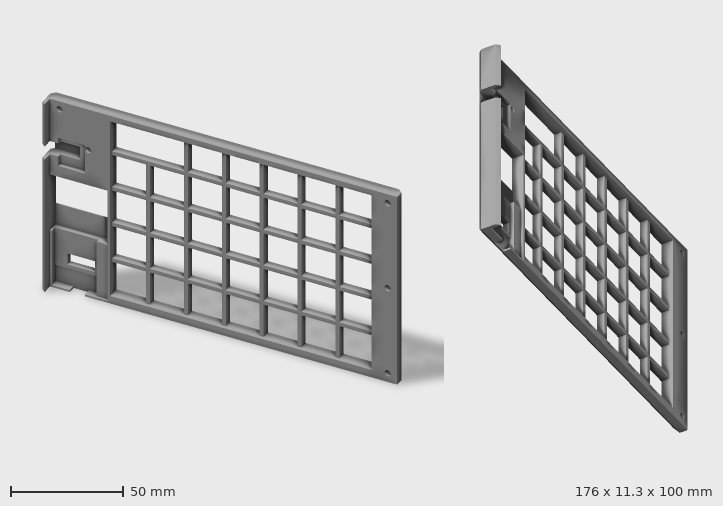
import cadquery as cq

length = 176.0
height = 100.0
plate_thickness = 6.0
overall_depth = 11.3
lip_thickness = 1.8
lip_tip_bevel = lip_thickness
back_chamfer = 2.0

key_pitch = 19.0
key_bar = 2.0
key_opening = key_pitch - key_bar
key_columns = 7
key_rows = 5
grid_left = 32.0
grid_bottom = 4.0
bar_level = 4.0

screw_diameter = 3.2
right_screw_x = 171.3
right_screw_inset = 4.7
left_screws = [(6.6, 95.9), (21.0, 78.4)]
right_screws = [
    (right_screw_x, right_screw_inset),
    (right_screw_x, height / 2),
    (right_screw_x, height - right_screw_inset),
]

connector_left = 6.0
connector_right = 19.4
connector_bottom = 65.5
connector_top = 80.4
connector_floor = 4.0
notch_end = 16.0
notch_bottom = 70.5
notch_top = 77.5

thin_floor = 0.5
bay_right = 30.8
bay_top = 59.7
window_bottom = 41.2

seat_left = 2.8
seat_bottom = 1.0
seat_top = 30.0
seat_level = 4.7
recess_right = 24.6
recess_level = 3.0
lower_recess_level = 2.2
lower_recess_top = 10.2
slot_left = 9.0
slot_right = 23.0
slot_bottom = 12.2
slot_top = 18.0
rim_gap_left = 11.8
rim_gap_right = 19.4


def block(x_min, x_max, z_min, z_max, floor=0.0):
    """Box from the given level above the back face out past the front of the part."""
    size_x = x_max - x_min
    size_z = z_max - z_min
    return (
        cq.Workplane("XY")
        .box(size_x, overall_depth - floor, size_z, centered=False)
        .translate((x_min, -overall_depth, z_min))
    )


def make_plate():
    """Plate with chamfered back edges and a bevelled lip along its left edge."""
    profile = [
        (back_chamfer, 0),
        (length - back_chamfer, 0),
        (length, -back_chamfer),
        (length, -plate_thickness),
        (lip_thickness, -plate_thickness),
        (lip_thickness, -overall_depth),
        (0, -overall_depth + lip_tip_bevel),
        (0, -back_chamfer),
    ]
    plate = cq.Workplane("XY").polyline(profile).close().extrude(height)
    bottom_wedge = (
        cq.Workplane("YZ")
        .polyline([(0, 0), (-back_chamfer, 0), (0, back_chamfer)])
        .close()
        .extrude(length)
    )
    return plate.cut(bottom_wedge)


def cut_key_grid(body):
    """Key openings between bars set below the plate front; two top left keys share one opening."""
    grid_right = grid_left + key_columns * key_pitch - key_bar
    grid_top = grid_bottom + key_rows * key_pitch - key_bar
    body = body.cut(block(grid_left, grid_right, grid_bottom, grid_top, bar_level))
    for row in range(key_rows):
        for column in range(key_columns):
            x = grid_left + column * key_pitch
            z = grid_bottom + row * key_pitch
            body = body.cut(block(x, x + key_opening, z, z + key_opening))
    top_row = grid_bottom + (key_rows - 1) * key_pitch
    wide_right = grid_left + key_pitch + key_opening
    return body.cut(block(grid_left, wide_right, top_row, top_row + key_opening))


def cut_screw_holes(body):
    holes = (
        cq.Workplane("XZ")
        .pushPoints(left_screws + right_screws)
        .circle(screw_diameter / 2)
        .extrude(plate_thickness)
    )
    return body.cut(holes)


def cut_connector(body):
    pocket = block(connector_left, connector_right, connector_bottom, connector_top, connector_floor)
    notch = block(0, notch_end, notch_bottom, notch_top, thin_floor)
    return body.cut(pocket).cut(notch)


def cut_module_bay(body):
    """Window, thin-floored bay, and the stepped seat with its slot and open bottom rim."""
    window = block(lip_thickness, bay_right, window_bottom, bay_top)
    thin_area = block(lip_thickness, bay_right, seat_top, window_bottom, thin_floor)
    seat = block(seat_left, bay_right, seat_bottom, seat_top, seat_level)
    recess = block(seat_left, recess_right, seat_bottom, seat_top, recess_level)
    lower_recess = block(seat_left, recess_right, seat_bottom, lower_recess_top, lower_recess_level)
    slot = block(slot_left, slot_right, slot_bottom, slot_top)
    rim_gap = block(rim_gap_left, rim_gap_right, 0, seat_bottom, lower_recess_level)
    for pocket in (window, thin_area, seat, recess, lower_recess, slot, rim_gap):
        body = body.cut(pocket)
    return body


result = make_plate()
result = cut_key_grid(result)
result = cut_screw_holes(result)
result = cut_connector(result)
result = cut_module_bay(result)